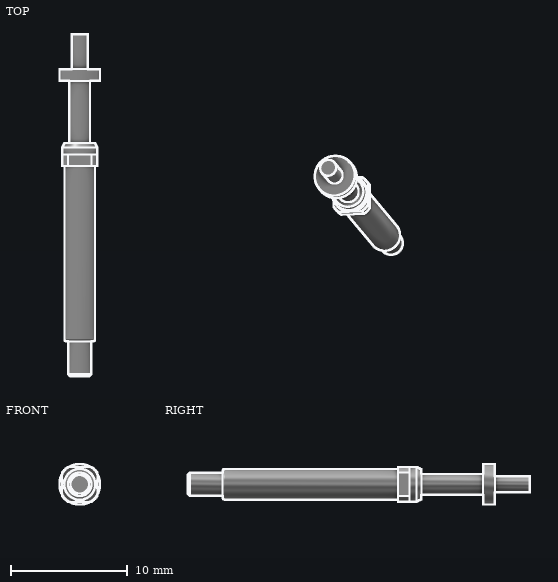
import cadquery as cq

TAIL_LENGTH = 3.0
BODY_LENGTH = 15.0
SQUARE_LENGTH = 1.0
COLLAR_LENGTH = 1.0
PLUNGER_LENGTH = 5.3
FLANGE_LENGTH = 1.0
TIP_LENGTH = 3.0

TAIL_DIAMETER = 2.0
BODY_DIAMETER = 2.65
COLLAR_DIAMETER = 3.0
PLUNGER_DIAMETER = 1.8
FLANGE_DIAMETER = 3.5
TIP_DIAMETER = 1.4

SQUARE_WIDTH = COLLAR_DIAMETER
SQUARE_CORNER_DIAMETER = 3.6

TAIL_CHAMFER = 0.2
BODY_FILLET = 0.2
COLLAR_CHAMFER_DEPTH = 0.2
COLLAR_CHAMFER_LENGTH = 0.4

BODY_START = TAIL_LENGTH
SQUARE_START = BODY_START + BODY_LENGTH
COLLAR_START = SQUARE_START + SQUARE_LENGTH
PLUNGER_START = COLLAR_START + COLLAR_LENGTH
FLANGE_START = PLUNGER_START + PLUNGER_LENGTH
TIP_START = FLANGE_START + FLANGE_LENGTH


def section_plane(start):
    """Plane square to the Y axis at the given distance from the tail end."""
    return cq.Workplane("XZ", origin=(0, start, 0))


def cylinder(diameter, start, length):
    """Round section on the Y axis, running from start towards +Y."""
    return section_plane(start).circle(diameter / 2).extrude(-length)


def make_tail():
    tail = cylinder(TAIL_DIAMETER, 0, TAIL_LENGTH)
    return tail.faces("<Y").edges().chamfer(TAIL_CHAMFER)


def make_body():
    body = cylinder(BODY_DIAMETER, BODY_START, BODY_LENGTH)
    return body.faces("<Y").edges().fillet(BODY_FILLET)


def make_wrench_square():
    square = section_plane(SQUARE_START).rect(SQUARE_WIDTH, SQUARE_WIDTH).extrude(-SQUARE_LENGTH)
    return square.intersect(cylinder(SQUARE_CORNER_DIAMETER, SQUARE_START, SQUARE_LENGTH))


def make_collar():
    collar = cylinder(COLLAR_DIAMETER, COLLAR_START, COLLAR_LENGTH)
    return collar.faces(">Y").edges().chamfer(COLLAR_CHAMFER_LENGTH, COLLAR_CHAMFER_DEPTH)


def make_plunger():
    """Plunger rod with its flange and the thinner tip beyond it."""
    plunger = cylinder(PLUNGER_DIAMETER, PLUNGER_START, PLUNGER_LENGTH)
    flange = cylinder(FLANGE_DIAMETER, FLANGE_START, FLANGE_LENGTH)
    tip = cylinder(TIP_DIAMETER, TIP_START, TIP_LENGTH)
    return plunger.union(flange).union(tip)


result = (
    make_tail()
    .union(make_body())
    .union(make_wrench_square())
    .union(make_collar())
    .union(make_plunger())
)